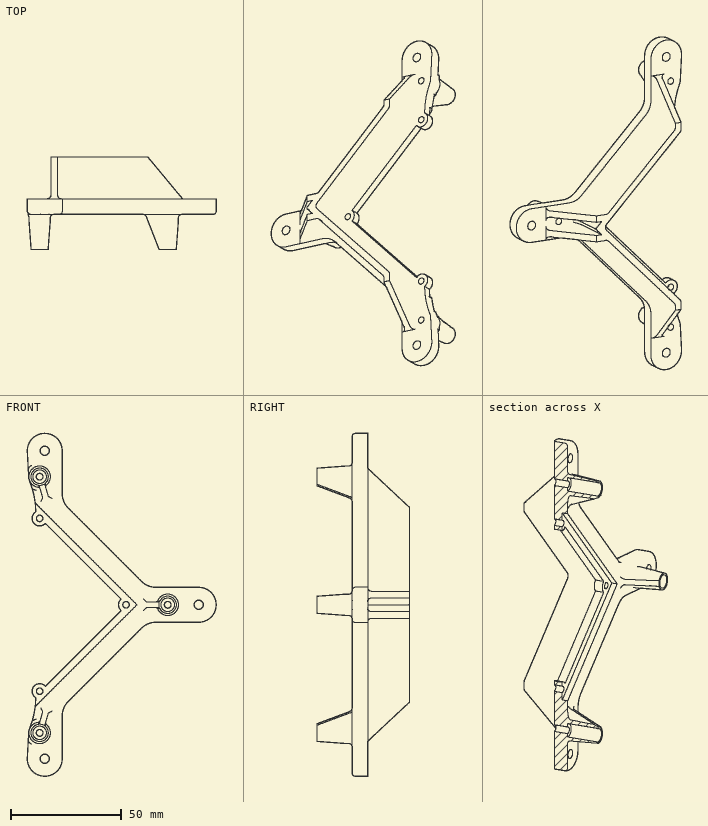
import math

import cadquery as cq


overall_depth = 41.91

plate_thickness = 7.1
ledge_thickness = 4.25
edge_round = 1.5
lug_radius = 7.9375
lug_offset = 2.3
lug_distance = 69.4875
elbow_radius = 9.0
arm_inner = 39.3
arm_step = 43.9
arm_outer = 56.6
side_x = -1.8
side_blend_radius = 37.0

lug_hole_diameter = 4.06
ear_hole_diameter = 2.85
ear_radius = 3.45
ear_distance = 39.0

post_distance = 57.8
post_height = 15.9
post_collar_height = 3.1
post_base_radius = 4.85
post_tip_radius = 3.9
post_bore_diameter = 6.1
post_hole_diameter = 2.95
post_pad_radius = 5.0
foot_fillet = 1.5
gusset_width = 2.6
gusset_fillet = 1.0
gusset_reach = 10.1
gusset_tilt = 16.0

wall_height = overall_depth - plate_thickness - post_height
wall_thickness = 3.0
wall_inner = 45.0
wall_foot_fillet = 1.7
bend_radius = 2.0
side_flap_x = 5.1
side_flap_top = 43.9
side_flap_foot = 61.6
right_flap_z = 3.1
right_flap_top = 48.8
right_flap_foot = 64.5

COS45 = math.sqrt(0.5)
TOLERANCE = 0.01
MARGIN = 200.0

upper_lug = (lug_offset, lug_distance)
right_lug = (lug_offset + lug_distance, 0)
upper_post = (0, post_distance)


def three_places(right, upper):
    """The right and upper places, and the upper one mirrored below z = 0."""
    return [right, upper, (upper[0], -upper[1])]


lug_places = three_places(right_lug, upper_lug)
post_places = three_places((post_distance, 0), upper_post)
ear_places = three_places((ear_distance, 0), (0, ear_distance))


def polar(center, radius, degrees):
    a = math.radians(degrees)
    return (center[0] + radius * math.cos(a), center[1] + radius * math.sin(a))


def mirrored(half):
    return half.union(half.mirror("XY"))


def front_cylinder(center, radius, depth, start=0):
    """Cylinder along -Y whose rear end is at y = -start."""
    return cq.Workplane("XZ", origin=(0, -start, 0)).center(*center).circle(radius).extrude(depth)


def half_outline():
    """Upper half of the plate outline, closed along z = 0."""
    blend_center_x = side_x - side_blend_radius
    reach = side_blend_radius + post_pad_radius
    blend_rise = math.sqrt(reach**2 - blend_center_x**2)
    blend_center = (blend_center_x, post_distance - blend_rise)
    blend_angle = math.degrees(math.atan2(blend_rise, -blend_center_x))

    dx = upper_lug[0] - upper_post[0]
    dz = upper_lug[1] - upper_post[1]
    axis_angle = math.degrees(math.atan2(dz, dx))
    lean = math.degrees(math.asin((lug_radius - post_pad_radius) / math.hypot(dx, dz)))
    tangent_angle = axis_angle + 90 + lean

    lug_side = lug_offset + lug_radius
    elbow_x = lug_side + elbow_radius
    elbow_z = arm_outer - elbow_x + elbow_radius / COS45
    upper_elbow = (elbow_x, elbow_z)
    right_z = lug_radius + elbow_radius
    right_elbow = (arm_outer - right_z + elbow_radius / COS45, right_z)

    pad_middle = (180 + blend_angle + tangent_angle) / 2
    return (
        cq.Workplane("XZ")
        .moveTo(arm_inner, 0)
        .lineTo(side_x, arm_inner - side_x)
        .lineTo(side_x, blend_center[1])
        .threePointArc(
            polar(blend_center, side_blend_radius, blend_angle / 2),
            polar(blend_center, side_blend_radius, blend_angle),
        )
        .threePointArc(
            polar(upper_post, post_pad_radius, pad_middle),
            polar(upper_post, post_pad_radius, tangent_angle),
        )
        .lineTo(*polar(upper_lug, lug_radius, tangent_angle))
        .threePointArc(polar(upper_lug, lug_radius, 90), polar(upper_lug, lug_radius, 0))
        .lineTo(*polar(upper_elbow, elbow_radius, 180))
        .threePointArc(
            polar(upper_elbow, elbow_radius, 202.5), polar(upper_elbow, elbow_radius, 225)
        )
        .lineTo(*polar(right_elbow, elbow_radius, 225))
        .threePointArc(
            polar(right_elbow, elbow_radius, 247.5), polar(right_elbow, elbow_radius, 270)
        )
        .lineTo(*polar(right_lug, lug_radius, 90))
        .threePointArc(polar(right_lug, lug_radius, 45), polar(right_lug, lug_radius, 0))
        .close()
    )


def outline_prism(depth):
    return mirrored(half_outline().extrude(depth))


def make_plate():
    plate = outline_prism(plate_thickness).faces("<Y").edges().fillet(edge_round)
    recess = (
        cq.Workplane("XZ", origin=(0, -ledge_thickness, 0))
        .polyline([(arm_step, 0), (arm_step - MARGIN, MARGIN), (arm_step - MARGIN, -MARGIN)])
        .close()
        .extrude(plate_thickness)
    )
    plate = plate.cut(recess)
    for center in ear_places:
        plate = plate.union(front_cylinder(center, ear_radius, ledge_thickness))
    return plate


def box_selector(reach_x, reach_y, reach_z, center=(0, 0, 0)):
    """Selects the edges that lie wholly in a box around the center."""
    low = (center[0] - reach_x, center[1] - reach_y, center[2] - reach_z)
    high = (center[0] + reach_x, center[1] + reach_y, center[2] + reach_z)
    return cq.selectors.BoxSelector(low, high, boundingbox=True)


def fillet_foot(body, radius, front):
    """Fillet where a body in front of or behind the plane y = 0 meets it, using a temporary slab."""
    slab_depth = -plate_thickness if front else plate_thickness
    slab = cq.Workplane("XZ").rect(2 * MARGIN, 2 * MARGIN).extrude(slab_depth)
    inside_rim = MARGIN / 2
    foot = box_selector(inside_rim, TOLERANCE, inside_rim)
    return slab.union(body).edges(foot).fillet(radius).cut(slab)


def make_post():
    """Tapered post on the plate's front at x = z = 0, with its gusset towards -X."""
    excess = 2.0
    built_height = post_height + excess
    taper_slope = (post_base_radius - post_tip_radius) / (post_height - post_collar_height)
    gusset_slope = (gusset_reach - post_tip_radius) / post_height
    column = (
        cq.Workplane("XY")
        .polyline(
            [
                (0, 0),
                (post_base_radius, 0),
                (post_base_radius, -post_collar_height),
                (post_tip_radius - taper_slope * excess, -built_height),
                (0, -built_height),
            ]
        )
        .close()
        .revolve(360, (0, 0), (0, 1))
    )
    gusset_end = gusset_slope * excess - post_tip_radius
    gusset = (
        cq.Workplane("XY")
        .polyline([(0, 0), (-gusset_reach, 0), (gusset_end, -built_height), (0, -built_height)])
        .close()
        .extrude(gusset_width / 2, both=True)
    )
    post = column.union(gusset)
    for side in (-1, 1):
        joint_center = (-post_base_radius / 2, -post_height / 2, side * gusset_width / 2)
        joint = box_selector(post_base_radius / 2, post_height / 2 + excess, TOLERANCE, joint_center)
        post = post.edges(joint).edges("not #Y").fillet(gusset_fillet)
    post = fillet_foot(post, foot_fillet, front=True)
    tip = cq.Workplane("XZ", origin=(0, -post_height, 0)).rect(MARGIN, MARGIN).extrude(MARGIN)
    root = front_cylinder((0, 0), post_base_radius + foot_fillet, edge_round, -edge_round)
    return post.cut(tip).union(root).translate((0, -plate_thickness, 0))


def make_posts():
    post = make_post()
    right = post.translate((post_distance, 0, 0))
    upper = post.rotate((0, 0, 0), (0, 1, 0), -90 - gusset_tilt)
    upper = upper.translate((0, 0, post_distance))
    posts = right.union(mirrored(upper))
    return posts.intersect(outline_prism(plate_thickness + post_height))


def make_wall():
    """Wall behind the arms, with sloping flaps that run on along the lugs."""
    wall_outer = wall_inner + wall_thickness / COS45
    side_outer = side_flap_x + wall_thickness
    right_outer = right_flap_z + wall_thickness
    far = lug_offset + lug_distance + lug_radius
    right_neck = wall_outer - right_flap_z
    half = (
        cq.Workplane("XZ")
        .polyline(
            [
                (wall_inner, 0),
                (side_flap_x, wall_inner - side_flap_x),
                (side_flap_x, far),
                (side_outer, far),
                (side_outer, wall_outer - side_outer),
                (wall_outer - right_outer, right_outer),
                (far, right_outer),
                (far, right_flap_z),
                (right_neck, right_flap_z),
                (wall_outer, 0),
            ]
        )
        .close()
        .extrude(-wall_height)
    )
    wall = mirrored(half)
    bends = [
        (wall_inner, 0),
        (side_flap_x, wall_inner - side_flap_x),
        (side_flap_x, side_flap_x - wall_inner),
        (side_outer, wall_outer - side_outer),
        (side_outer, side_outer - wall_outer),
        (wall_outer - right_outer, right_outer),
        (wall_outer - right_outer, -right_outer),
    ]
    for x, z in bends:
        corner = box_selector(TOLERANCE, wall_height + TOLERANCE, TOLERANCE, (x, 0, z))
        wall = wall.edges(corner).fillet(bend_radius)
    wall = fillet_foot(wall, wall_foot_fillet, front=False)

    def beyond_slope(plane, top, foot_at):
        return (
            cq.Workplane(plane)
            .polyline([(foot_at, 0), (top, wall_height), (MARGIN, wall_height), (MARGIN, 0)])
            .close()
            .extrude(MARGIN, both=True)
        )

    side_cut = beyond_slope("ZY", side_flap_top, side_flap_foot)
    right_cut = beyond_slope("XY", right_flap_top, right_flap_foot)
    return wall.cut(mirrored(side_cut)).cut(right_cut)


def drill(body):
    for places, diameter in [
        (lug_places, lug_hole_diameter),
        (ear_places, ear_hole_diameter),
        (post_places, post_hole_diameter),
    ]:
        for center in places:
            body = body.cut(front_cylinder(center, diameter / 2, 2 * overall_depth, -overall_depth))
    for center in post_places:
        body = body.cut(front_cylinder(center, post_bore_diameter / 2, post_height, plate_thickness))
    return body


result = drill(make_plate().union(make_posts()).union(make_wall()))